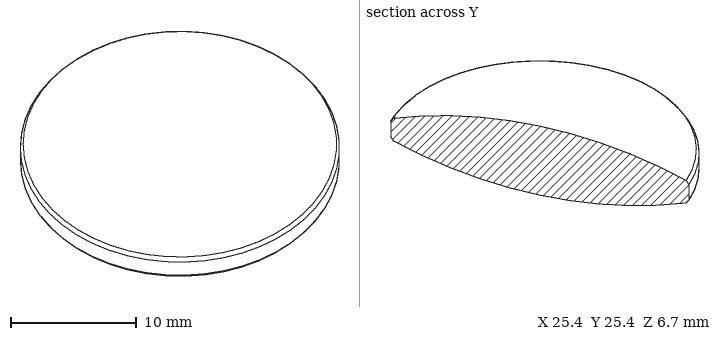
import cadquery as cq

lens_radius = 12.7
lens_height = 6.7
rim_height = 1.5
bevel_width = 0.23
bevel_height = 0.35

face_radius = lens_radius - bevel_width
apex_z = lens_height / 2
rim_z = rim_height / 2
face_edge_z = rim_z + bevel_height

face_sag = apex_z - face_edge_z
sphere_radius = (face_radius**2 + face_sag**2) / (2 * face_sag)


def point_on_face(radius):
    """Point of the upper spherical face at a given distance from the axis."""
    drop = sphere_radius - (sphere_radius**2 - radius**2) ** 0.5
    return radius, apex_z - drop


mid_radius, mid_z = point_on_face(face_radius / 2)

half_section = (
    cq.Workplane("XZ")
    .moveTo(0, -apex_z)
    .threePointArc((mid_radius, -mid_z), (face_radius, -face_edge_z))
    .lineTo(lens_radius, -rim_z)
    .lineTo(lens_radius, rim_z)
    .lineTo(face_radius, face_edge_z)
    .threePointArc((mid_radius, mid_z), (0, apex_z))
    .close()
)

result = half_section.revolve(360, (0, 0, 0), (0, 1, 0))